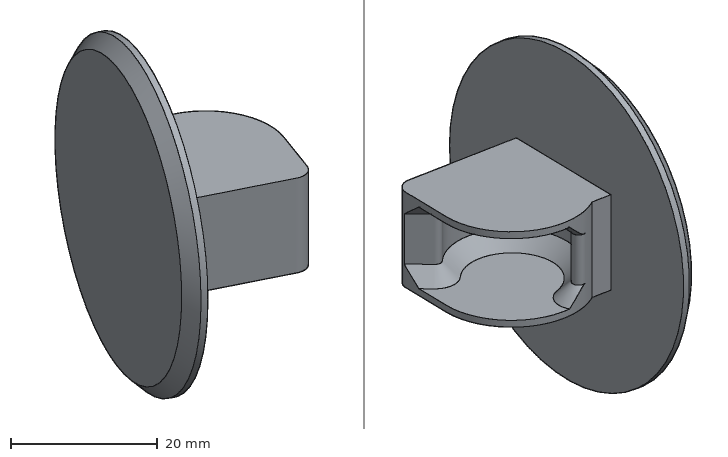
import cadquery as cq
import math

disc_diameter = 50.8
disc_thickness = 3.05
disc_bevel = 2.03

overall_depth = 24.35
hook_root_y = disc_thickness / 2
hook_height = 14.85
hook_right_x = 10.87
stem_left_x = -9.6
back_corner_radius = 2.54
outer_radius = 11.4
outer_center_x = -0.35
outer_center_y = overall_depth - outer_radius

pocket_radius = 9.525
pocket_center_y = disc_thickness + pocket_radius
pocket_mouth_height = 12.7
pocket_floor_height = 7.8
pocket_bevel = (pocket_mouth_height - pocket_floor_height) / 2

lip_radius = 1.0
lip_center_y = 8.95
nose_radius = 1.0
nose_center_y = 20.5
ramp_normal_angle = 40
clearance = 5


def polar(center, radius, angle):
    """Point at a distance and angle (radians) from a centre."""
    return (center[0] + radius * math.cos(angle), center[1] + radius * math.sin(angle))


def angle_to(start, end):
    """Direction from one point to another, in radians."""
    return math.atan2(end[1] - start[1], end[0] - start[0])


def find_lip_center():
    """Centre of the lip round, tangent to the outer arc from inside."""
    drop = outer_center_y - lip_center_y
    reach = math.sqrt((outer_radius - lip_radius) ** 2 - drop**2)
    return (outer_center_x - reach, lip_center_y)


lip_center = find_lip_center()


def find_pocket_center():
    """Centre of the pocket arc, placed so that the arc is tangent to the lip round."""
    rise = pocket_center_y - lip_center_y
    reach = math.sqrt((pocket_radius + lip_radius) ** 2 - rise**2)
    return (lip_center[0] + reach, pocket_center_y)


outer_center = (outer_center_x, outer_center_y)
pocket_center = find_pocket_center()


def find_nose_center():
    """Centre of the nose round, tangent to the pocket arc on its +X side."""
    rise = nose_center_y - pocket_center_y
    reach = math.sqrt((pocket_radius + nose_radius) ** 2 - rise**2)
    return (pocket_center[0] + reach, nose_center_y)


nose_center = find_nose_center()


def make_disc():
    disc = cq.Workplane("XZ").circle(disc_diameter / 2).extrude(-disc_thickness)
    return disc.faces("<Y").chamfer(disc_bevel)


def make_hook_blank():
    stem_offset = stem_left_x - outer_center_x
    stem_top_y = outer_center_y - math.sqrt(outer_radius**2 - stem_offset**2)
    blank = (
        cq.Workplane("XY", origin=(0, 0, -hook_height / 2))
        .moveTo(stem_left_x, hook_root_y)
        .lineTo(hook_right_x, hook_root_y)
        .lineTo(hook_right_x, overall_depth)
        .lineTo(outer_center_x, overall_depth)
        .threePointArc((outer_center_x - outer_radius, outer_center_y), (stem_left_x, stem_top_y))
        .close()
        .extrude(hook_height)
    )
    return blank.edges("|Z and >X and >Y").fillet(back_corner_radius)


def pocket_outline(z, inset):
    """Outline of the pocket at height z, its wall moved inwards by the inset."""
    lip = lip_radius + inset
    nose = nose_radius + inset
    round_part = pocket_radius - inset
    bottom_right_angle = -math.pi / 4

    lip_outer_angle = angle_to(outer_center, lip_center) % math.tau
    lip_inner_angle = angle_to(lip_center, pocket_center)
    lip_tip_angle = (lip_outer_angle + lip_inner_angle) / 2
    nose_inner_angle = angle_to(nose_center, pocket_center) % math.tau
    ramp_angle = math.pi - math.radians(ramp_normal_angle)
    nose_tip_angle = (nose_inner_angle + ramp_angle) / 2

    lip_outer = polar(lip_center, lip, lip_outer_angle)
    ramp_start = polar(nose_center, nose, ramp_angle)
    ramp_direction = ramp_angle - math.pi / 2
    ramp_length = (overall_depth + clearance - ramp_start[1]) / math.sin(ramp_direction)
    ramp_end = polar(ramp_start, ramp_length, ramp_direction)
    far_x = outer_center_x - outer_radius - clearance

    return (
        cq.Workplane("XY", origin=(0, 0, z))
        .moveTo(*lip_outer)
        .threePointArc(polar(lip_center, lip, lip_tip_angle), polar(lip_center, lip, lip_inner_angle))
        .threePointArc(
            polar(pocket_center, round_part, bottom_right_angle),
            polar(nose_center, nose, nose_inner_angle),
        )
        .threePointArc(polar(nose_center, nose, nose_tip_angle), ramp_start)
        .lineTo(*ramp_end)
        .lineTo(far_x, ramp_end[1])
        .lineTo(far_x, lip_outer[1])
        .close()
    )


def pocket_bevel_side(side):
    """Bevelled part of the pocket above (side = 1) or below (side = -1) its middle."""
    wide = pocket_outline(side * pocket_floor_height / 2, 0).val()
    narrow = pocket_outline(side * pocket_mouth_height / 2, pocket_bevel).val()
    return cq.Workplane(cq.Solid.makeLoft([wide, narrow], True))


def make_pocket():
    pocket = pocket_outline(-pocket_floor_height / 2, 0).extrude(pocket_floor_height)
    for side in (-1, 1):
        pocket = pocket.union(pocket_bevel_side(side))
    return pocket


hook = make_hook_blank().cut(make_pocket())
result = make_disc().union(hook)